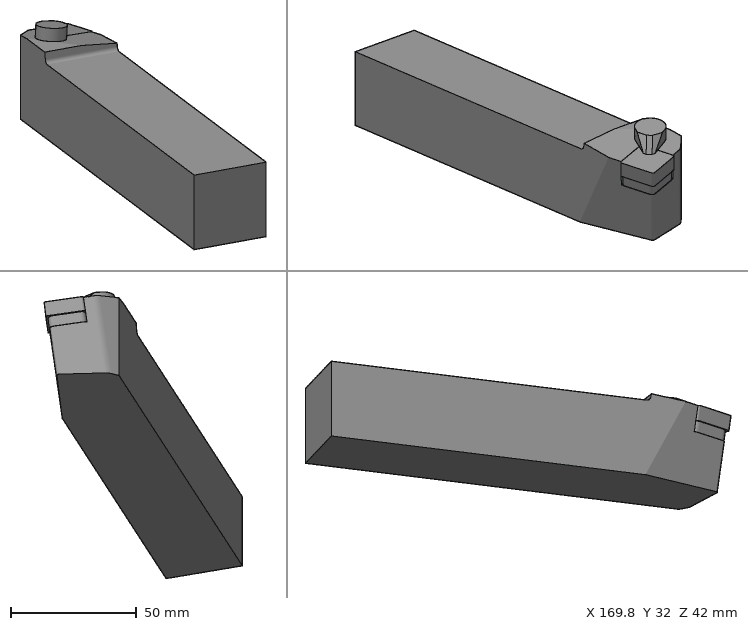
import cadquery as cq
import math

length = 169.8
shank_size = 32.0
head_height = 36.5
step_top_x = 35.0
step_foot_x = 35.8
step_fillet = 1.9

seat_tilt = 8.5
hinge_x = 18.9

insert_side = 15.8
insert_thickness = 6.3
insert_nose_radius = 0.8
lead_angle = 15.0
tip_x = -0.45
tip_y = 27.3

shim_inset = 0.7
shim_thickness = 4.6
shim_corner_radius = 2.0

flank_relief = 0.8
nose_radius = 1.0
chamfer_x = 12.9
chamfer_blend_radius = 5.3
nose_reach = 220.8
nose_depth = 101.9

clamp_x = 20.2
clamp_y = 10.0
clamp_radius = 6.3
clamp_height = 5.5
beak_angle = 135.0
beak_length = 12.4
beak_tip_half_width = 1.2
beak_flank_length = 12.0
beak_flank_half_width = 2.2
beak_top_length = 6.8
facet_run = 1.6
facet_rise = 2.7
facet_repeats = 5.1


def tilt_with_seat(shape):
    """Tip a level shape about the hinge line of the seat."""
    return shape.rotate((hinge_x, 0, head_height), (hinge_x + 1.7, 1.7, head_height), -seat_tilt)


def place_from_tip(shape):
    """Move a shape from local axes along the insert edges to the level insert position."""
    return shape.rotate((0, 0, 0), (0, 0, 1), lead_angle).translate((tip_x, tip_y, head_height))


def insert_block(depth):
    """Sharp square of the insert, from the seat plane down."""
    square = cq.Workplane("XY").rect(insert_side, -insert_side, centered=False)
    return square.extrude(-depth)


def make_bar():
    profile = [(0, 0), (length, 0), (length, shank_size), (step_foot_x, shank_size)]
    profile += [(step_top_x, head_height), (0, head_height)]
    bar = cq.Workplane("XZ").polyline(profile).close().extrude(-shank_size)
    step_foot = cq.selectors.NearestToPointSelector((step_foot_x, shank_size / 2, shank_size))
    return bar.edges(step_foot).fillet(step_fillet)


def make_nose_prism():
    """Prism with the three nose flanks as sides, wider than the bar everywhere else."""
    lead = math.radians(lead_angle)
    along = (math.cos(lead), math.sin(lead))
    corner_x = tip_x + flank_relief * (along[0] + along[1])
    corner_y = tip_y + flank_relief * (along[1] - along[0])

    end_length = (corner_x + corner_y - chamfer_x) / (along[0] - along[1])
    blend_x = corner_x + end_length * along[1]
    blend_y = corner_y - end_length * along[0]

    outline = [
        (corner_x, corner_y),
        (blend_x, blend_y),
        (chamfer_x + shank_size, -shank_size),
        (nose_reach, -shank_size),
        (corner_x + nose_reach * along[0], corner_y + nose_reach * along[1]),
    ]
    base = cq.Workplane("XY").workplane(offset=head_height)
    prism = base.polyline(outline).close().extrude(-nose_depth)
    middle = head_height - nose_depth / 2
    corner = cq.selectors.NearestToPointSelector((corner_x, corner_y, middle))
    blend = cq.selectors.NearestToPointSelector((blend_x, blend_y, middle))
    prism = prism.edges(corner).fillet(nose_radius)
    return prism.edges(blend).fillet(chamfer_blend_radius)


def make_shim():
    side = insert_side - shim_inset
    shim = cq.Workplane("XY").workplane(offset=-insert_thickness)
    shim = shim.center(shim_inset, -shim_inset).rect(side, -side, centered=False)
    shim = shim.extrude(-shim_thickness)
    return shim.edges("|Z").fillet(shim_corner_radius)


def make_clamp():
    """Clamp with its beak along local +X and its foot on the seat plane."""
    reach = math.hypot(beak_flank_length, beak_flank_half_width)
    tangent = math.atan2(beak_flank_half_width, beak_flank_length) + math.acos(clamp_radius / reach)
    touch_x = clamp_radius * math.cos(tangent)
    touch_y = clamp_radius * math.sin(tangent)
    body = (
        cq.Workplane("XY")
        .moveTo(touch_x, touch_y)
        .threePointArc((-clamp_radius, 0), (touch_x, -touch_y))
        .lineTo(beak_flank_length, -beak_flank_half_width)
        .lineTo(beak_length, -beak_tip_half_width)
        .lineTo(beak_length, beak_tip_half_width)
        .lineTo(beak_flank_length, beak_flank_half_width)
        .close()
        .extrude(clamp_height)
    )

    facet_x = beak_length - facet_repeats * facet_run
    facet_y = beak_tip_half_width + facet_repeats * facet_rise
    back_x = -2 * beak_length
    chevron = [
        (beak_length, -beak_tip_half_width, 0),
        (beak_length, beak_tip_half_width, 0),
        (facet_x, facet_y, 0),
        (back_x, facet_y, 0),
        (back_x, -facet_y, 0),
        (facet_x, -facet_y, 0),
    ]
    wire = cq.Wire.makePolygon([cq.Vector(*point) for point in chevron], close=True)
    slope = cq.Vector(beak_top_length - beak_length, 0, clamp_height)
    clamp = body.intersect(cq.Workplane(cq.Solid.extrudeLinear(wire, [], slope)))
    clamp = clamp.rotate((0, 0, 0), (0, 0, 1), beak_angle)
    return clamp.translate((clamp_x, clamp_y, head_height))


def make_holder():
    pocket = insert_block(insert_thickness + shim_thickness)
    holder = make_bar().intersect(tilt_with_seat(make_nose_prism()))
    holder = holder.cut(tilt_with_seat(place_from_tip(pocket)))
    holder = holder.union(tilt_with_seat(place_from_tip(make_shim())))
    return holder.union(tilt_with_seat(make_clamp()))


def make_insert():
    insert = insert_block(insert_thickness).edges("|Z").fillet(insert_nose_radius)
    return tilt_with_seat(place_from_tip(insert))


holder = make_holder()
insert = make_insert()

result = cq.Compound.makeCompound([holder.solids().val(), insert.solids().val()])